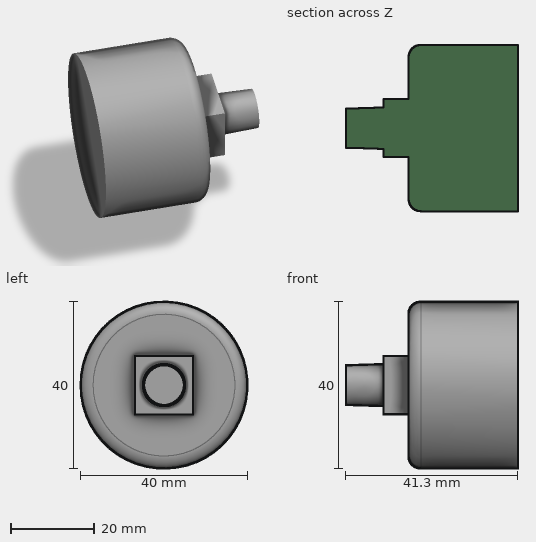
import cadquery as cq

total_length = 41.3
case_diameter = 40.0
case_length = 26.3
case_edge_radius = 3.0
square_side = 14.0
square_length = 6.0
stem_tip_diameter = 9.55
stem_root_diameter = 10.1

back_x = total_length / 2
case_front_x = back_x - case_length
square_front_x = case_front_x - square_length
stem_length = total_length - case_length - square_length


def plane_at(x):
    """Plane across the part axis, with its normal along +X."""
    return cq.Workplane("YZ", origin=(x, 0, 0))


def make_case():
    """Round case with a rounded front edge."""
    case = plane_at(case_front_x).circle(case_diameter / 2).extrude(case_length)
    return case.faces("<X").edges().fillet(case_edge_radius)


def make_square():
    """Square wrench block in front of the case."""
    return plane_at(square_front_x).rect(square_side, square_side).extrude(square_length)


def make_stem():
    """Stem that tapers towards its free end."""
    return cq.Solid.makeCone(
        stem_tip_diameter / 2,
        stem_root_diameter / 2,
        stem_length,
        pnt=cq.Vector(-total_length / 2, 0, 0),
        dir=cq.Vector(1, 0, 0),
    )


result = make_case().union(make_square()).union(cq.Workplane(make_stem()))